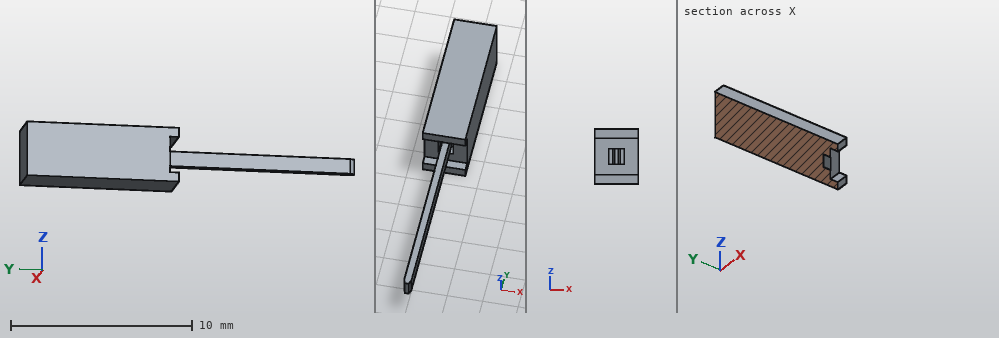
import cadquery as cq

total_length = 18.52
body_width = 2.4
body_height = 3.05
body_length = 8.5

lip_height = 0.52
channel_depth = 0.5

pocket_size = 0.83
pocket_depth = 0.5

pin_width = 0.4
pin_height = pocket_size
tip_width = 0.2
tip_length = 0.26

back_y = total_length / 2
tip_y = -total_length / 2
body_front_y = back_y - body_length
channel_floor_y = body_front_y + channel_depth
pocket_floor_y = channel_floor_y + pocket_depth


def block(width, height, front_y, rear_y):
    """Box centred on the Y axis, between two Y positions."""
    length = rear_y - front_y
    return cq.Workplane("XY").box(width, length, height).translate((0, front_y + length / 2, 0))


def make_body():
    body = block(body_width, body_height, body_front_y, back_y)
    channel_height = body_height - 2 * lip_height
    channel = block(body_width, channel_height, body_front_y, channel_floor_y)
    pocket = block(pocket_size, pocket_size, channel_floor_y, pocket_floor_y)
    return body.cut(channel).cut(pocket)


def make_pin():
    taper_y = tip_y + tip_length
    outline = [
        (-pin_width / 2, pocket_floor_y),
        (-pin_width / 2, taper_y),
        (-tip_width / 2, tip_y),
        (tip_width / 2, tip_y),
        (pin_width / 2, taper_y),
        (pin_width / 2, pocket_floor_y),
    ]
    return cq.Workplane("XY").polyline(outline).close().extrude(pin_height / 2, both=True)


result = make_body().union(make_pin())